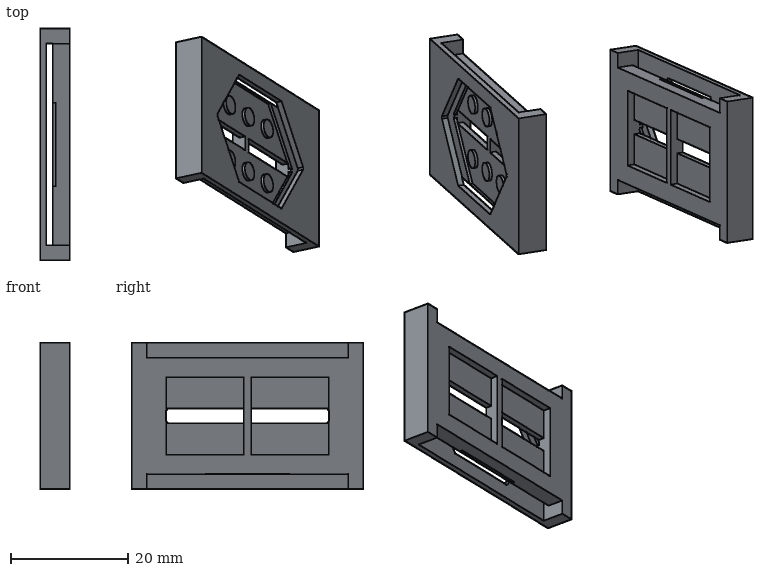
import cadquery as cq

thickness = 5.1
length = 39.52
height = 24.98

cover_thickness = 1.05
channel_width = 1.05

rail_width = 2.55
backing_setback = 2.55

hexagon_length = 28.7
hexagon_flat_length = 14.23
hexagon_height = 19.7
tip_edge_height = 0.47
recess_depth = 0.5

stud_diameter = 3.15
stud_spacing_y = 6.32
stud_spacing_z = 10.0
stud_columns = 3
stud_rows = 2

slots_span = 27.75
slot_height = 2.5
web_width = 1.3

tip_block_height = 0.6

pocket_wall = 1.1

backing_face = cover_thickness + channel_width
recess_floor = backing_face + recess_depth
pocket_floor = recess_floor + pocket_wall

backing_length = length - 2 * rail_width
backing_height = height - 2 * backing_setback
pocket_border = (backing_length - slots_span) / 2
pocket_height = backing_height - 2 * pocket_border


def face_plane(x):
    """Workplane at the given X, with local axes along Y and Z and extrusion toward +X."""
    return cq.Workplane("YZ", origin=(x, 0, 0))


def box_between(x_start, x_end, size_y, size_z):
    return face_plane(x_start).rect(size_y, size_z).extrude(x_end - x_start)


def hexagon_prism(x_start, depth):
    half_length = hexagon_length / 2
    half_flat = hexagon_flat_length / 2
    half_height = hexagon_height / 2
    half_tip = tip_edge_height / 2
    corners = [
        (half_length, half_tip),
        (half_flat, half_height),
        (-half_flat, half_height),
        (-half_length, half_tip),
        (-half_length, -half_tip),
        (-half_flat, -half_height),
        (half_flat, -half_height),
        (half_length, -half_tip),
    ]
    return face_plane(x_start).polyline(corners).close().extrude(depth)


def studs():
    """Studs that end flush with the channel face of the backing plate."""
    return (
        face_plane(backing_face)
        .rarray(stud_spacing_y, stud_spacing_z, stud_columns, stud_rows)
        .circle(stud_diameter / 2)
        .extrude(recess_depth)
    )


def tip_blocks():
    """Blocks from the slot ends outward, as deep as the recess."""
    bar = box_between(backing_face, recess_floor, backing_length, tip_block_height)
    return bar.cut(box_between(backing_face, recess_floor, slots_span, tip_block_height))


def opening_pair(x_start, opening_height):
    """Two openings, one on each side of the web, running to the rear face."""
    opening_length = (slots_span - web_width) / 2
    return (
        face_plane(x_start)
        .rarray(opening_length + web_width, 0.4, 2, 1)
        .rect(opening_length, opening_height)
        .extrude(thickness - x_start)
    )


def backing_plate():
    recess = hexagon_prism(backing_face, recess_depth).cut(studs()).cut(tip_blocks())
    slots = opening_pair(recess_floor, slot_height)
    rear_pockets = opening_pair(pocket_floor, pocket_height)
    plate = box_between(backing_face, thickness, backing_length, backing_height)
    return plate.cut(recess).cut(slots).cut(rear_pockets)


def cover_and_rails():
    block = box_between(0, thickness, length, height)
    space_between_rails = box_between(cover_thickness, thickness, backing_length, height)
    window = hexagon_prism(0, cover_thickness)
    return block.cut(space_between_rails).cut(window)


result = cover_and_rails().union(backing_plate())